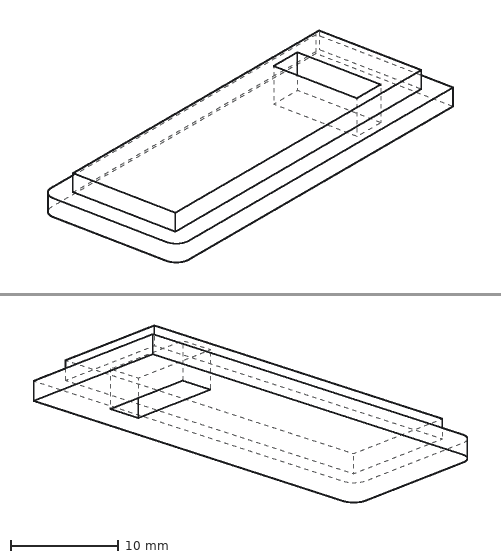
import cadquery as cq

plate_width = 16.5
plate_length = 40.4
plate_thickness = 2.0
corner_radius = 1.5

pad_margin = 2.1
pad_height = 2.0
pad_width = plate_width - 2 * pad_margin
pad_length = plate_length - 2 * pad_margin

window_width = 10.0
window_length = 3.5
window_end_distance = 6.7
window_center_y = plate_length / 2 - window_end_distance - window_length / 2


def make_plate():
    """Flat plate with the two vertical edges at the -Y end rounded."""
    plate = cq.Workplane("XY").box(
        plate_width, plate_length, plate_thickness, centered=(True, True, False)
    )
    return plate.edges("|Z and <Y").fillet(corner_radius)


def make_pad():
    """Sharp-cornered pad standing on top of the plate."""
    return (
        cq.Workplane("XY")
        .workplane(offset=plate_thickness)
        .rect(pad_width, pad_length)
        .extrude(pad_height)
    )


def make_window():
    """Cutting block for the through window."""
    return (
        cq.Workplane("XY")
        .center(0, window_center_y)
        .rect(window_width, window_length)
        .extrude(plate_thickness + pad_height)
    )


result = make_plate().union(make_pad()).cut(make_window())